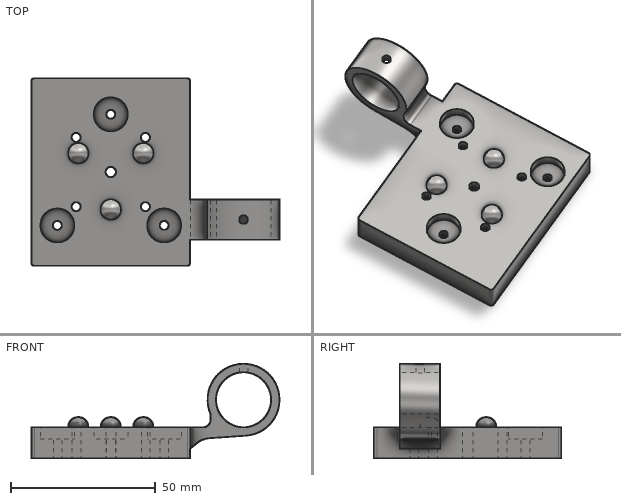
import cadquery as cq
import math

PLATE_X = 55.0
PLATE_Y = 65.0
PLATE_Z = 10.8
CORNER_RADIUS = 1.0

CENTER_HOLE_DIA = 3.5
GRID_HOLE_DIA = 3.05
GRID_PITCH = 24.0

BORE_DIA = 11.8
BORE_DEPTH = 4.0
BORE_HOLE_DIA = 3.0
BORE_CENTERS = [(0.0, 20.0), (-18.5, -18.5), (18.5, -18.5)]

BALL_COUNT = 3
BALL_RADIUS = 3.55
BALL_CIRCLE_RADIUS = 13.0
FIRST_BALL_ANGLE = -90.0

RING_RADIUS = 12.5
RING_BORE_DIA = 19.0
RING_X = 46.0
RING_Z = PLATE_Z + RING_BORE_DIA / 2
RING_WIDTH = 14.0
RING_Y = -16.5
SET_SCREW_DIA = 3.0

ARM_WALL_X = PLATE_X / 2 + 7.0
ARM_FILLET_RADIUS = 2.5
ARM_BASE_Z = 3.3
GUSSET_ANGLE = 40.0
UNDERSIDE_ANGLE = 4.0
UNDERSIDE_FILLET_RADIUS = 7.5


def make_plate():
    """Rectangular block with rounded vertical edges."""
    block = cq.Workplane("XY").box(PLATE_X, PLATE_Y, PLATE_Z, centered=(True, True, False))
    return block.edges("|Z").fillet(CORNER_RADIUS)


def cut_plate_holes(body):
    """Centre hole, square grid of holes and the counterbored holes."""
    top = cq.Workplane("XY").workplane(offset=PLATE_Z)
    body = body.cut(top.circle(CENTER_HOLE_DIA / 2).extrude(-PLATE_Z))
    grid = top.rect(GRID_PITCH, GRID_PITCH, forConstruction=True).vertices()
    body = body.cut(grid.circle(GRID_HOLE_DIA / 2).extrude(-PLATE_Z))
    body = body.cut(top.pushPoints(BORE_CENTERS).circle(BORE_HOLE_DIA / 2).extrude(-PLATE_Z))
    return body.cut(top.pushPoints(BORE_CENTERS).circle(BORE_DIA / 2).extrude(-BORE_DEPTH))


def add_balls(body):
    """Balls centred on the top face of the plate."""
    for index in range(BALL_COUNT):
        angle = math.radians(FIRST_BALL_ANGLE + index * 360.0 / BALL_COUNT)
        x = BALL_CIRCLE_RADIUS * math.cos(angle)
        y = BALL_CIRCLE_RADIUS * math.sin(angle)
        body = body.union(cq.Workplane("XY").sphere(BALL_RADIUS).translate((x, y, PLATE_Z)))
    return body


def make_arm():
    """Web between plate and ring, blended into the plate top and tangent to the ring underside."""
    blend_x = ARM_WALL_X - ARM_FILLET_RADIUS
    blend_end = (ARM_WALL_X, PLATE_Z + ARM_FILLET_RADIUS)

    slope = math.radians(UNDERSIDE_ANGLE)
    tangent = (RING_X + RING_RADIUS * math.sin(slope), RING_Z - RING_RADIUS * math.cos(slope))

    wall_x = PLATE_X / 2
    steep = math.tan(math.radians(GUSSET_ANGLE))
    shallow = math.tan(slope)
    underside_at_wall = tangent[1] - shallow * (tangent[0] - wall_x)
    knee_run = (underside_at_wall - ARM_BASE_Z) / (steep - shallow)
    knee = (wall_x + knee_run, ARM_BASE_Z + steep * knee_run)

    turn = math.radians(GUSSET_ANGLE - UNDERSIDE_ANGLE)
    setback = UNDERSIDE_FILLET_RADIUS * math.tan(turn / 2)
    gusset = math.radians(GUSSET_ANGLE)
    fillet_start = (knee[0] - setback * math.cos(gusset), knee[1] - setback * math.sin(gusset))
    fillet_end = (knee[0] + setback * math.cos(slope), knee[1] + setback * math.sin(slope))

    root_x = wall_x - CORNER_RADIUS
    outline = (
        cq.Workplane("XZ", origin=(0, RING_Y + RING_WIDTH / 2, 0))
        .moveTo(root_x, PLATE_Z)
        .lineTo(blend_x, PLATE_Z)
        .tangentArcPoint(blend_end, relative=False)
        .lineTo(ARM_WALL_X, RING_Z)
        .lineTo(RING_X, RING_Z)
        .lineTo(*tangent)
        .lineTo(*fillet_end)
        .tangentArcPoint(fillet_start, relative=False)
        .lineTo(wall_x, ARM_BASE_Z)
        .lineTo(root_x, ARM_BASE_Z)
        .close()
    )
    return outline.extrude(RING_WIDTH)


def make_ring_cylinder(radius):
    """Cylinder along Y on the ring axis, as long as the ring is wide."""
    plane = cq.Workplane("XZ", origin=(RING_X, RING_Y + RING_WIDTH / 2, RING_Z))
    return plane.circle(radius).extrude(RING_WIDTH)


def add_ring(body):
    """Ring holder with its bore and a set screw hole through the top wall."""
    body = body.union(make_arm()).union(make_ring_cylinder(RING_RADIUS))
    body = body.cut(make_ring_cylinder(RING_BORE_DIA / 2))
    screw = cq.Workplane("XY", origin=(RING_X, RING_Y, RING_Z))
    return body.cut(screw.circle(SET_SCREW_DIA / 2).extrude(RING_RADIUS))


result = add_ring(add_balls(cut_plate_holes(make_plate())))